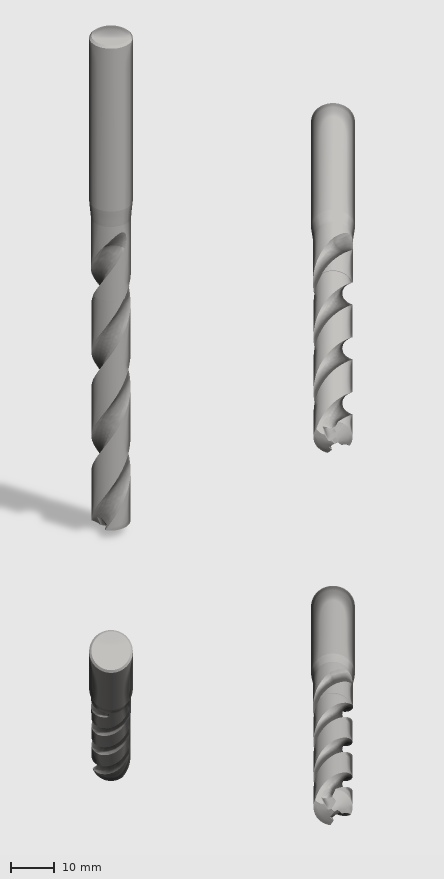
import cadquery as cq
import math

total_length = 131
shank_diameter = 10.0
drill_diameter = 9.2
head_diameter = 8.9
shank_bottom = 87.2
neck_top = 82.9
top_chamfer = 0.5
joint_height = 63.1
point_height = 2.2

flute_count = 2
flute_pitch = 44.5
flute_top = 76.5
flute_top_angle = 162
flute_radius = 3.1
core_radius = 2.1
cut_clearance = 1.3
flute_offset = core_radius + flute_radius
runout_height = 7.2
runout_rise = 2.8

notch_left = -0.8
notch_right = 1.8
notch_web = 0.4
notch_depth = 2.4
notch_top = 3.4

drill_radius = drill_diameter / 2
head_radius = head_diameter / 2
shank_radius = shank_diameter / 2
flute_spacing = 360 / flute_count


def polar(radius, angle):
    """Point at a radius and an angle in degrees."""
    a = math.radians(angle)
    return (radius * math.cos(a), radius * math.sin(a))


def helix_angle(z):
    """Angle of the first flute at height z."""
    return flute_top_angle + 360 * (z - flute_top) / flute_pitch


def flute(index, bottom, top):
    """Helical channel of constant depth between two heights."""
    height = top - bottom
    angle = helix_angle(bottom) + index * flute_spacing
    return (
        cq.Workplane("XY", origin=(0, 0, bottom))
        .center(flute_offset, 0)
        .circle(flute_radius)
        .center(-flute_offset, 0)
        .twistExtrude(height, 360 * height / flute_pitch)
        .rotate((0, 0, 0), (0, 0, 1), angle)
    )


def runout(index):
    """Straight end of a flute, along the helix tangent and rising outwards."""
    angle = flute_top_angle + index * flute_spacing
    x, y = polar(flute_offset, angle)
    face = cq.Face.makeFromWires(
        cq.Wire.makeCircle(flute_radius, cq.Vector(x, y, flute_top), cq.Vector(0, 0, 1))
    )
    sideways = 2 * math.pi * flute_offset * runout_height / flute_pitch
    out_x, out_y = polar(runout_rise, angle)
    side_x, side_y = polar(sideways, angle + 90)
    direction = cq.Vector(out_x + side_x, out_y + side_y, runout_height)
    return cq.Workplane(cq.Solid.extrudeLinear(face, direction))


def thinning_notch(index):
    """Sloping notch at the point, opening into the end of a flute."""
    outer = head_radius + cut_clearance
    return (
        cq.Workplane("YZ", origin=(notch_left, 0, 0))
        .moveTo(-notch_web, 0)
        .lineTo(-notch_depth, notch_top)
        .lineTo(-outer, notch_top)
        .lineTo(-outer, 0)
        .close()
        .extrude(notch_right - notch_left)
        .rotate((0, 0, 0), (0, 0, 1), index * flute_spacing)
    )


def make_shank():
    """Shank with its tapered neck and the runouts of the flutes."""
    body = (
        cq.Workplane("XZ")
        .moveTo(0, joint_height)
        .lineTo(drill_radius, joint_height)
        .lineTo(drill_radius, neck_top)
        .lineTo(shank_radius, shank_bottom)
        .lineTo(shank_radius, total_length - top_chamfer)
        .lineTo(shank_radius - top_chamfer, total_length)
        .lineTo(0, total_length)
        .close()
        .revolve(360, (0, 0, 0), (0, 1, 0))
    )
    for index in range(flute_count):
        body = body.cut(flute(index, joint_height - cut_clearance, flute_top)).cut(runout(index))
    return body.solids()


def make_head():
    """Cutting head with a thinned conical point and helical flutes."""
    body = (
        cq.Workplane("XZ")
        .lineTo(head_radius, point_height)
        .lineTo(head_radius, joint_height)
        .lineTo(0, joint_height)
        .close()
        .revolve(360, (0, 0, 0), (0, 1, 0))
    )
    for index in range(flute_count):
        body = body.cut(flute(index, -cut_clearance, joint_height + cut_clearance)).cut(thinning_notch(index))
    return body.solids()


shank = make_shank()
head = make_head()

result = cq.Compound.makeCompound([shank.val(), head.val()])